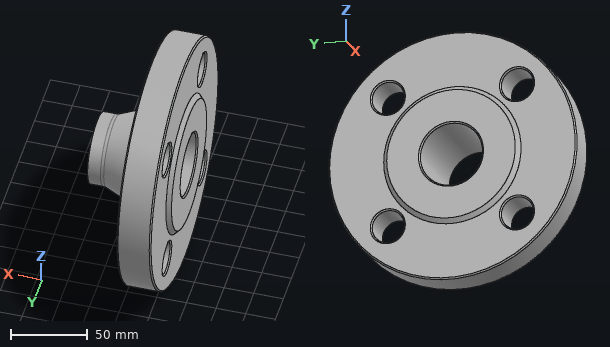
import cadquery as cq
import math


flange_diameter = 170.0
flange_back_x = 26.0
flange_edge_chamfer = 1.0

raised_face_height = 3.0
raised_face_diameter = 88.0

overall_length = 62.0
weld_end_length = 10.0
hub_base_diameter = 70.0
pipe_diameter = 48.3
hub_blend_radius = 6.0

bore_diameter = 42.5
bore_chamfer = 1.0

bolt_hole_count = 4
bolt_hole_diameter = 22.0
bolt_hole_chamfer = 1.0
bolt_circle_diameter = 125.0
first_bolt_angle = 45.0


def make_body():
    """Solid of revolution about X, with the hub blended into flange and pipe."""
    flange_radius = flange_diameter / 2
    rim_radius = flange_radius - flange_edge_chamfer
    face_radius = raised_face_diameter / 2
    hub_base_radius = hub_base_diameter / 2
    pipe_radius = pipe_diameter / 2
    taper_end_x = overall_length - weld_end_length

    profile = [
        (0, 0),
        (0, face_radius),
        (raised_face_height, face_radius + raised_face_height),
        (raised_face_height, rim_radius),
        (raised_face_height + flange_edge_chamfer, flange_radius),
        (flange_back_x - flange_edge_chamfer, flange_radius),
        (flange_back_x, rim_radius),
        (flange_back_x, hub_base_radius),
        (taper_end_x, pipe_radius),
        (overall_length, pipe_radius),
        (overall_length, 0),
    ]
    body = cq.Workplane("XY").polyline(profile).close().revolve(360, (0, 0, 0), (1, 0, 0))

    body = fillet_circle(body, flange_back_x, hub_base_radius)
    return fillet_circle(body, taper_end_x, pipe_radius)


def fillet_circle(body, x, radius):
    """Blend the circular edge of the given radius around the X axis at x."""
    margin = 0.01
    reach = radius + margin
    low_corner = (x - margin, -reach, -reach)
    high_corner = (x + margin, reach, reach)
    box = cq.selectors.BoxSelector(low_corner, high_corner, boundingbox=True)
    return body.edges(box).fillet(hub_blend_radius)


def chamfered_hole(diameter, chamfer, face_x, y, z):
    """Cutter for a through hole along X, chamfered where it leaves the face at face_x."""
    face = cq.Workplane("YZ", origin=(face_x, y, z))
    shaft = face.circle(diameter / 2).extrude(overall_length)
    mouth = cq.Solid.makeCone(
        diameter / 2 + chamfer,
        diameter / 2,
        chamfer,
        cq.Vector(face_x, y, z),
        cq.Vector(1, 0, 0),
    )
    return shaft.union(cq.Workplane(mouth))


def cut_bore(body):
    """Through bore, chamfered at the sealing face."""
    return body.cut(chamfered_hole(bore_diameter, bore_chamfer, 0, 0, 0))


def cut_bolt_holes(body):
    """Bolt holes spaced evenly on the bolt circle, straddling the Y and Z axes."""
    for index in range(bolt_hole_count):
        angle = math.radians(first_bolt_angle + index * 360 / bolt_hole_count)
        y = bolt_circle_diameter / 2 * math.cos(angle)
        z = bolt_circle_diameter / 2 * math.sin(angle)
        body = body.cut(chamfered_hole(bolt_hole_diameter, bolt_hole_chamfer, raised_face_height, y, z))
    return body


result = cut_bolt_holes(cut_bore(make_body()))